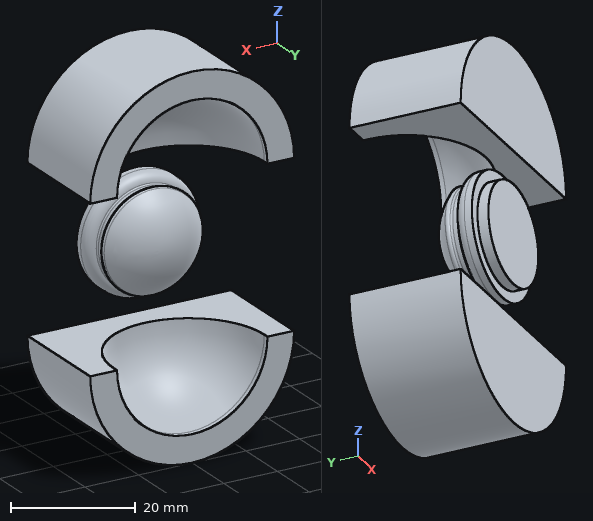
import cadquery as cq
import math

total_height = 68.0
shell_length = 20.0
shell_radius = 19.005
split_height = total_height / 2 - shell_radius

socket_radius = 14.0
socket_lip = 1.0

neck_radius = 18.0 / 2
boss_length = 2.0
flange_radius = 11.0
flange_round_start = 3.3
flange_round = 2.0
groove_fillet = 0.3
groove_end = 6.4
bead_start = 6.8
bead_start_radius = 9.2
bead_peak = 7.2
bead_peak_radius = 9.4
dome_start = 7.7
dome_start_radius = 9.2
plug_length = 12.05


def make_shell_half(side):
    """Half cylinder with its hemispherical socket; side is +1 above the plug and -1 below it."""
    base = side * split_height
    half = (
        cq.Workplane("XZ")
        .moveTo(-shell_radius, base)
        .threePointArc((0, base + side * shell_radius), (shell_radius, base))
        .close()
        .extrude(-shell_length)
    )
    socket_centre = shell_length - socket_lip
    ball = cq.Workplane("XY").sphere(socket_radius).translate((0, socket_centre, base))
    lip = (
        cq.Workplane("XZ", origin=(0, socket_centre, base))
        .circle(socket_radius)
        .extrude(-socket_lip)
    )
    return half.cut(ball).cut(lip)


def make_plug():
    """Domed plug with a front boss, a rounded flange, a groove and a retaining bead."""
    round_centre_radius = flange_radius - flange_round
    fillet_centre_radius = neck_radius + groove_fillet
    radial_offset = fillet_centre_radius - round_centre_radius
    blend_angle = math.asin(radial_offset / (flange_round + groove_fillet))
    groove_start = flange_round_start + (flange_round + groove_fillet) * math.cos(blend_angle)
    blend_point = (
        round_centre_radius + flange_round * math.sin(blend_angle),
        flange_round_start + flange_round * math.cos(blend_angle),
    )

    dome_height = plug_length - dome_start
    dome_radius = (dome_start_radius**2 + dome_height**2) / (2 * dome_height)
    dome_half_angle = math.asin(dome_start_radius / dome_radius) / 2
    dome_mid = (
        dome_radius * math.sin(dome_half_angle),
        plug_length - dome_radius * (1 - math.cos(dome_half_angle)),
    )

    profile = (
        cq.Workplane("XY")
        .lineTo(neck_radius, 0)
        .lineTo(neck_radius, boss_length)
        .lineTo(flange_radius, boss_length)
        .lineTo(flange_radius, flange_round_start)
        .tangentArcPoint(blend_point, relative=False)
        .tangentArcPoint((neck_radius, groove_start), relative=False)
        .lineTo(neck_radius, groove_end)
        .tangentArcPoint((bead_start_radius, bead_start), relative=False)
        .threePointArc((bead_peak_radius, bead_peak), (dome_start_radius, dome_start))
        .threePointArc(dome_mid, (0, plug_length))
        .close()
    )
    return profile.revolve(360, (0, 0, 0), (0, 1, 0))


shell_halves = [make_shell_half(side) for side in (1, -1)]
plug = make_plug()

result = cq.Compound.makeCompound([plug.val(), *[half.val() for half in shell_halves]])